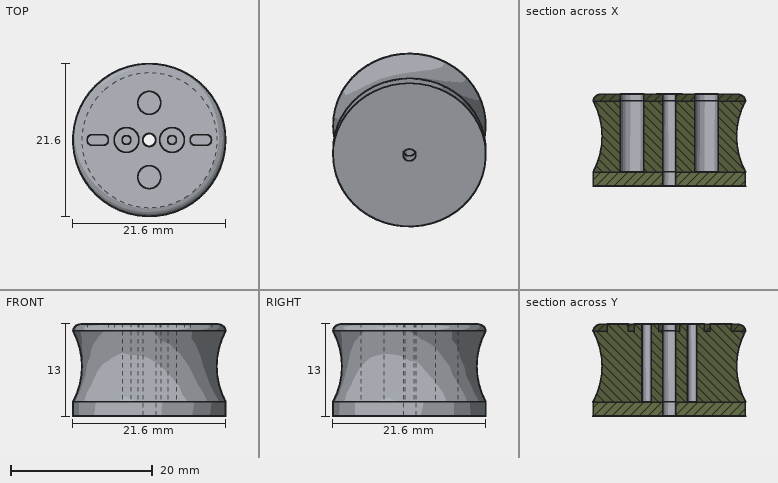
import cadquery as cq

outer_radius = 10.8
base_height = 2.0
body_height = 10.0
cap_height = 1.0
body_top = base_height + body_height
overall_height = body_top + cap_height

waist_radius = 9.55
cap_flat_radius = 9.57

center_hole_diameter = 1.8
side_hole_diameter = 3.25
side_hole_offset = 5.25

post_diameter = 3.5
post_hole_diameter = 1.25
post_offset = 3.22
key_length = 3.02
key_width = 1.51
key_offset = 7.28

post_places = [(-post_offset, 0), (post_offset, 0)]
key_places = [(-key_offset, 0), (key_offset, 0)]
side_hole_places = [(0, -side_hole_offset), (0, side_hole_offset)]


def cylinders(places, diameter, bottom, height):
    """Upright cylinders of one size at the given places."""
    return cq.Workplane("XY").workplane(offset=bottom).pushPoints(places).circle(diameter / 2).extrude(height)


def posts_and_keys():
    """Round posts and slot-shaped keys as tall as the cap."""
    posts = cylinders(post_places, post_diameter, body_top, cap_height)
    keys = (
        cq.Workplane("XY")
        .workplane(offset=body_top)
        .pushPoints(key_places)
        .slot2D(key_length, key_width)
        .extrude(cap_height)
    )
    return posts.add(keys).combine()


def center_hole():
    """Cutter for the hole through the whole stack."""
    return cylinders([(0, 0)], center_hole_diameter, 0, overall_height)


def side_holes():
    """Cutters for the two large holes, from the cap down to the base disc."""
    return cylinders(side_hole_places, side_hole_diameter, base_height, body_height + cap_height)


def make_base():
    """Plain disc with the center hole."""
    return cq.Workplane("XY").circle(outer_radius).extrude(base_height).cut(center_hole())


def make_body():
    """Concave turned body with its posts and keys on top."""
    waist_height = base_height + body_height / 2
    turned = (
        cq.Workplane("XZ")
        .moveTo(0, base_height)
        .lineTo(outer_radius, base_height)
        .threePointArc((waist_radius, waist_height), (outer_radius, body_top))
        .lineTo(0, body_top)
        .close()
        .revolve(360, (0, 0, 0), (0, 1, 0))
    )
    post_holes = cylinders(post_places, post_hole_diameter, base_height, body_height + cap_height)
    return turned.union(posts_and_keys()).cut(post_holes).cut(center_hole()).cut(side_holes())


def make_cap():
    """Disc with an elliptically rounded rim and openings for the posts and keys."""
    rim_width = outer_radius - cap_flat_radius
    disc = (
        cq.Workplane("XZ")
        .moveTo(0, body_top)
        .lineTo(outer_radius, body_top)
        .ellipseArc(rim_width, cap_height, 0, 90, startAtCurrent=True)
        .lineTo(0, overall_height)
        .close()
        .revolve(360, (0, 0, 0), (0, 1, 0))
    )
    return disc.cut(posts_and_keys()).cut(center_hole()).cut(side_holes())


base = make_base()
body = make_body()
cap = make_cap()

result = cq.Compound.makeCompound([base.val(), body.val(), cap.val()])